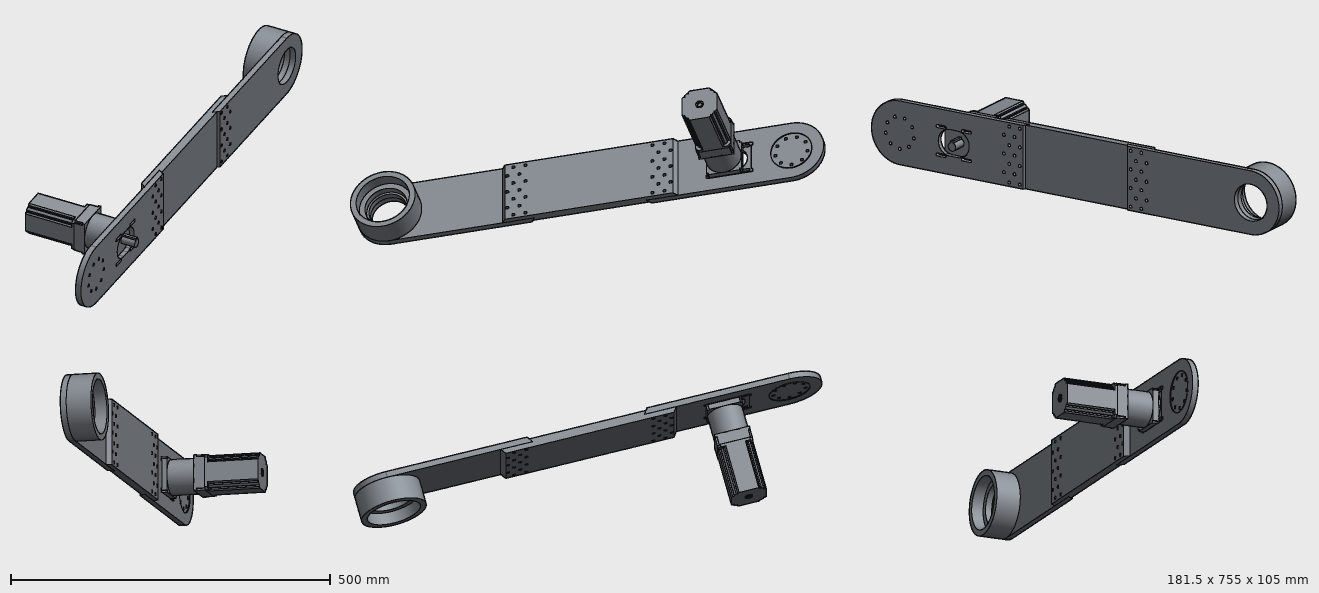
import cadquery as cq
import math


arm_length = 755.0
arm_width = 105.0
end_radius = arm_width / 2
hub_y = arm_length / 2 - end_radius

end_plate_thickness = 10.0
end_plate_inner_y = 90.5
plate_bevel = 6.0
lap_thickness = 8.0
middle_back_x = 6.0
middle_half_length = 142.0

screw_diameter = 4.8
screw_first_y = 103.0
screw_column_pitch = 10.0
screw_row_pitch = 30.65
screw_columns = 4

seat_radius = 33.0
seat_depth = 1.5
hub_bolt_radius = 26.5
hub_bolt_count = 9

ring_length = 40.0
ring_hole_radius = 30.0
ring_counterbores = [
    (43.0, 20.0),
    (34.0, 30.0),
]

drive_y = -218.0
drive_size = 57.0
half_drive = drive_size / 2
motor_rear_x = -155.5
motor_groove_end_x = -74.0
gearbox_rear_x = -69.5
flange_notch_end_x = -56.0
gearbox_body_rear_x = -51.0
output_flange_rear_x = -8.0
bolt_offset = 23.5
flange_notch_size = 3.0
collar_chamfer = 4.5
corner_flat = 16.0
corner_step = 2.0
rear_hole_steps = [
    (6.0, 1.5),
    (4.0, 3.0),
]

shaft_radius = 7.0
shaft_end_x = 26.0
key_width = 4.5
key_top = 10.0

mount_travel = 13.5
mount_bore_radius = 22.0
pocket_relief_radius = 3.0


def yz_plane(x):
    """Sketch plane at the given X: local x is Y, local y is Z, extrusion goes to +X."""
    return cq.Workplane("YZ", origin=(x, 0, 0))


def lap_screw_points(side):
    """Staggered rows of screw points: columns of four and three in turn."""
    points = []
    for column in range(screw_columns):
        rows = 4 if column % 2 == 0 else 3
        y = side * (screw_first_y + column * screw_column_pitch)
        for row in range(rows):
            points.append((y, (row - (rows - 1) / 2) * screw_row_pitch))
    return points


def cut_lap_screws(plate, side):
    holes = (
        yz_plane(-lap_thickness)
        .pushPoints(lap_screw_points(side))
        .circle(screw_diameter / 2)
        .extrude(lap_thickness + end_plate_thickness)
    )
    return plate.cut(holes)


def make_end_plate(side):
    """Plate with one rounded end, a sloped inner end and screw holes for its lap joint."""
    plate = (
        cq.Workplane("XY", origin=(0, 0, -arm_width / 2))
        .moveTo(0, side * end_plate_inner_y)
        .lineTo(end_plate_thickness, side * (end_plate_inner_y + plate_bevel))
        .lineTo(end_plate_thickness, side * hub_y)
        .lineTo(0, side * hub_y)
        .close()
        .extrude(arm_width)
    )
    rounded_end = yz_plane(0).center(side * hub_y, 0).circle(end_radius).extrude(end_plate_thickness)
    return cut_lap_screws(plate.union(rounded_end), side)


def make_ring_plate():
    hole = yz_plane(0).center(hub_y, 0).circle(ring_hole_radius).extrude(end_plate_thickness)
    return make_end_plate(1).cut(hole)


def make_drive_plate():
    hub_holes = (
        yz_plane(0)
        .center(-hub_y, 0)
        .polarArray(hub_bolt_radius, -90, 360, hub_bolt_count)
        .circle(screw_diameter / 2)
        .extrude(end_plate_thickness)
    )
    seat = yz_plane(0).center(-hub_y, 0).circle(seat_radius).extrude(seat_depth)
    return make_end_plate(-1).cut(seat).cut(hub_holes).cut(make_mount_cut())


def make_mount_cut():
    """Pocket with relieved corners, bolt slots and long bore that let the gearbox slide along Y."""
    mount_y = drive_y - mount_travel / 2
    pocket_length = drive_size + mount_travel
    mount = yz_plane(0).center(mount_y, 0)
    pocket = mount.rect(pocket_length, drive_size).extrude(seat_depth)
    reliefs = (
        mount.rect(pocket_length, drive_size - 2 * pocket_relief_radius, forConstruction=True)
        .vertices()
        .circle(pocket_relief_radius)
        .extrude(seat_depth)
    )
    slots = (
        mount.rect(2 * bolt_offset, 2 * bolt_offset, forConstruction=True)
        .vertices()
        .slot2D(mount_travel + screw_diameter, screw_diameter)
        .extrude(end_plate_thickness)
    )
    bore_width = 2 * mount_bore_radius
    bore = mount.slot2D(mount_travel + bore_width, bore_width).extrude(end_plate_thickness)
    return pocket.union(reliefs).union(slots).union(bore)


def make_middle_plate():
    """Plate thick in the middle, with a thin bevelled lap over each end plate."""
    bevel_y = middle_half_length - plate_bevel
    slope_y = end_plate_inner_y + plate_bevel * middle_back_x / end_plate_thickness
    plate = (
        cq.Workplane("XY", origin=(0, 0, -arm_width / 2))
        .polyline([
            (-lap_thickness, -bevel_y),
            (0, -middle_half_length),
            (0, -end_plate_inner_y),
            (middle_back_x, -slope_y),
            (middle_back_x, slope_y),
            (0, end_plate_inner_y),
            (0, middle_half_length),
            (-lap_thickness, bevel_y),
        ])
        .close()
        .extrude(arm_width)
    )
    for side in (1, -1):
        plate = cut_lap_screws(plate, side)
    return plate


def make_ring():
    front = yz_plane(-ring_length).center(hub_y, 0)
    ring = front.circle(end_radius).circle(ring_hole_radius).extrude(ring_length)
    for radius, depth in ring_counterbores:
        ring = ring.cut(front.circle(radius).extrude(depth))
    return ring


def motor_profile():
    """Square with chamfered corners, each holding a flat rib between two stepped grooves."""
    near = corner_flat + corner_step
    rib = near + corner_step
    far = half_drive - corner_step
    rib_far = far - corner_step
    corner = [
        (half_drive, corner_flat),
        (far, near),
        (rib_far, near),
        (rib_far, rib),
        (rib, rib_far),
        (near, rib_far),
        (near, far),
        (corner_flat, half_drive),
    ]
    points = []
    for quarter in range(4):
        turn = quarter * math.pi / 2
        for y, z in corner:
            points.append((
                y * math.cos(turn) - z * math.sin(turn),
                y * math.sin(turn) + z * math.cos(turn),
            ))
    return points


def make_square_block(rear_x, front_x):
    return yz_plane(rear_x).center(drive_y, 0).rect(drive_size, drive_size).extrude(front_x - rear_x)


def make_corner_notches(rear_x, front_x):
    return (
        yz_plane(rear_x)
        .center(drive_y, 0)
        .rect(drive_size, drive_size, forConstruction=True)
        .vertices()
        .rect(2 * flange_notch_size, 2 * flange_notch_size)
        .extrude(front_x - rear_x)
    )


def make_motor():
    rear = yz_plane(motor_rear_x).center(drive_y, 0)
    body = rear.polyline(motor_profile()).close().extrude(motor_groove_end_x - motor_rear_x)
    collar = make_square_block(motor_groove_end_x, gearbox_rear_x).edges("|X").chamfer(collar_chamfer)
    motor = body.union(collar)
    for radius, depth in rear_hole_steps:
        motor = motor.cut(rear.circle(radius).extrude(depth))
    return motor


def make_gearbox():
    input_flange = make_square_block(gearbox_rear_x, gearbox_body_rear_x)
    input_flange = input_flange.cut(make_corner_notches(gearbox_rear_x, flange_notch_end_x))
    body = (
        yz_plane(gearbox_body_rear_x)
        .center(drive_y, 0)
        .circle(half_drive)
        .extrude(output_flange_rear_x - gearbox_body_rear_x)
    )
    output_flange = make_square_block(output_flange_rear_x, seat_depth)
    output_flange = output_flange.cut(make_corner_notches(output_flange_rear_x, seat_depth))
    shaft_start = yz_plane(seat_depth).center(drive_y, 0)
    shaft_length = shaft_end_x - seat_depth
    shaft = shaft_start.circle(shaft_radius).extrude(shaft_length)
    key = shaft_start.center(0, key_top / 2).rect(key_width, key_top).extrude(shaft_length)
    return input_flange.union(body).union(output_flange).union(shaft).union(key)


ring_plate = make_ring_plate()
drive_plate = make_drive_plate()
middle_plate = make_middle_plate()
ring = make_ring()
motor = make_motor()
gearbox = make_gearbox()

result = cq.Compound.makeCompound([
    ring_plate.val(),
    drive_plate.val(),
    middle_plate.val(),
    ring.val(),
    motor.val(),
    gearbox.val(),
])